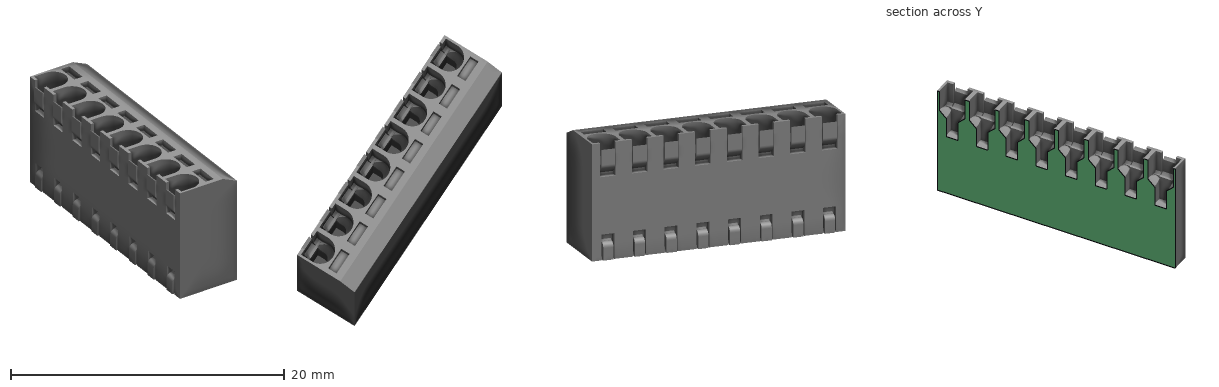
import cadquery as cq
import math

LENGTH = 20.0
DEPTH = 5.0
HEIGHT = 9.0
BEVEL_RUN = 1.25
BEVEL_DROP = 0.55

POLES = 8
PITCH = LENGTH / POLES
CLIP_STANDOUT = 0.1

SLOT_LENGTH = 1.78
SLOT_FRONT = 2.48
SLOT_WIDTH = 0.72
SLOT_DEPTH = 0.48
SLOT_DRAFT = 0.05

ENTRY_CENTRE_Y = 1.22
ENTRY_FRONT = 0.25
ENTRY_RADIUS = 1.08
ENTRY_BOTTOM = HEIGHT - 1.72
THROAT_RADIUS = 0.55
THROAT_DEPTH = 1.6
FUNNEL_BOTTOM = ENTRY_BOTTOM - (ENTRY_RADIUS - THROAT_RADIUS)

RAMP_SLOPE = math.tan(math.radians(35))
SHELF_FRONT = 0.45
SHELF_BACK = 0.65
SHELF_Z = ENTRY_BOTTOM - (SHELF_FRONT - ENTRY_FRONT) * RAMP_SLOPE
LIP_WIDTH = 0.1
LIP_OUTER_X = 0.98

UPPER_WINDOW_WIDTH = 1.22
UPPER_WINDOW_BOTTOM = 6.4
CLIP_WIDTH = 1.08
CLIP_TOP = 8.52
CLIP_BACK = 0.15
CLIP_LAND_BACK = 0.2
CLIP_BEND_TOP = 7.32
CLIP_BEND_RADIUS = 0.48
CLIP_BEND_ANGLE = math.radians(45)
CLIP_TOE_Y = 0.35
CLIP_TOE_BOTTOM = 6.55
CLIP_ROOT = 0.55

LOWER_WINDOW_WIDTH = 1.02
LOWER_WINDOW_TOP = 1.98
LOWER_WINDOW_DEPTH = 0.45
LOWER_SLOPE_TOP = 0.78
LOWER_SLOPE_FRONT = 0.1
FOOT_WIDTH = 0.8
FOOT_BEND_RADIUS = 0.42
FOOT_BEND_START = 0.95
FOOT_TOP = 1.5
FOOT_ROOT = 0.6


def extrude_across(profile, width):
    """Extrude a closed Y-Z profile to a width centred on X = 0."""
    return profile.extrude(width / 2, both=True)


def make_housing():
    profile = cq.Workplane("YZ").polyline([
        (0, 0),
        (DEPTH, 0),
        (DEPTH, HEIGHT - BEVEL_DROP),
        (DEPTH - BEVEL_RUN, HEIGHT),
        (0, HEIGHT),
    ])
    return profile.close().extrude(LENGTH)


def make_test_slot():
    floor = HEIGHT - SLOT_DEPTH
    back = SLOT_FRONT + SLOT_WIDTH
    profile = cq.Workplane("YZ").polyline([
        (SLOT_FRONT, floor),
        (back - SLOT_DRAFT, floor),
        (back, HEIGHT),
        (SLOT_FRONT, HEIGHT),
    ])
    return extrude_across(profile.close(), SLOT_LENGTH)


def make_wire_entry():
    bore_profile = cq.Workplane("XZ", origin=(0, ENTRY_CENTRE_Y, 0)).polyline([
        (0, HEIGHT),
        (ENTRY_RADIUS, HEIGHT),
        (ENTRY_RADIUS, ENTRY_BOTTOM),
        (THROAT_RADIUS, FUNNEL_BOTTOM),
        (0, FUNNEL_BOTTOM),
    ])
    bore = bore_profile.close().revolve(360, (0, 0, 0), (0, 1, 0))
    behind_shelf = cq.Workplane("XY").box(
        2 * ENTRY_RADIUS, DEPTH, HEIGHT, centered=(True, False, False)
    ).translate((0, SHELF_BACK, 0))
    entry = bore.intersect(behind_shelf)

    front_profile = cq.Workplane("YZ").polyline([
        (ENTRY_FRONT, HEIGHT),
        (ENTRY_FRONT, ENTRY_BOTTOM),
        (SHELF_FRONT, SHELF_Z),
        (SHELF_BACK, SHELF_Z),
        (ENTRY_CENTRE_Y, ENTRY_BOTTOM),
        (ENTRY_CENTRE_Y, HEIGHT),
    ])
    entry = entry.union(extrude_across(front_profile.close(), 2 * ENTRY_RADIUS))

    lip_profile = cq.Workplane("YZ").polyline([
        (SHELF_BACK - LIP_WIDTH, SHELF_Z),
        (SHELF_BACK, SHELF_Z),
        (SHELF_BACK, SHELF_Z + LIP_WIDTH * RAMP_SLOPE),
    ])
    entry = entry.cut(extrude_across(lip_profile.close(), 2 * LIP_OUTER_X))

    throat = (
        cq.Workplane("XY", origin=(0, 0, FUNNEL_BOTTOM - THROAT_DEPTH))
        .moveTo(-THROAT_RADIUS, SHELF_BACK)
        .lineTo(-THROAT_RADIUS, ENTRY_CENTRE_Y)
        .threePointArc((0, ENTRY_CENTRE_Y + THROAT_RADIUS), (THROAT_RADIUS, ENTRY_CENTRE_Y))
        .lineTo(THROAT_RADIUS, SHELF_BACK)
        .close()
        .extrude(HEIGHT - FUNNEL_BOTTOM + THROAT_DEPTH)
    )
    lip_gap = cq.Workplane("XY").box(
        2 * THROAT_RADIUS, LIP_WIDTH, HEIGHT - SHELF_Z, centered=(True, False, False)
    ).translate((0, SHELF_BACK - LIP_WIDTH, SHELF_Z))
    return entry.union(throat).union(lip_gap)


def make_upper_window():
    profile = cq.Workplane("YZ").polyline([
        (0, UPPER_WINDOW_BOTTOM),
        (SHELF_FRONT, UPPER_WINDOW_BOTTOM),
        (SHELF_FRONT, HEIGHT),
        (0, HEIGHT),
    ])
    return extrude_across(profile.close(), UPPER_WINDOW_WIDTH)


def make_upper_clip():
    """Spring clip: flat blade, bent inward below, rooted in the wall behind the window."""
    blade_front = -CLIP_STANDOUT
    bend_centre_y = blade_front + CLIP_BEND_RADIUS

    def bend_point(angle):
        return (
            bend_centre_y - CLIP_BEND_RADIUS * math.cos(angle),
            CLIP_BEND_TOP - CLIP_BEND_RADIUS * math.sin(angle),
        )

    bend_end_y, bend_end_z = bend_point(CLIP_BEND_ANGLE)
    toe_top = bend_end_z - (CLIP_TOE_Y - bend_end_y) / math.tan(CLIP_BEND_ANGLE)
    profile = (
        cq.Workplane("YZ")
        .moveTo(blade_front, CLIP_TOP)
        .lineTo(blade_front, CLIP_BEND_TOP)
        .threePointArc(bend_point(CLIP_BEND_ANGLE / 2), (bend_end_y, bend_end_z))
        .lineTo(CLIP_TOE_Y, toe_top)
        .lineTo(CLIP_TOE_Y, CLIP_TOE_BOTTOM)
        .lineTo(CLIP_ROOT, CLIP_TOE_BOTTOM)
        .lineTo(CLIP_ROOT, SHELF_Z)
        .lineTo(SHELF_FRONT, SHELF_Z)
        .lineTo(CLIP_LAND_BACK, ENTRY_BOTTOM)
        .lineTo(CLIP_BACK, ENTRY_BOTTOM)
        .lineTo(CLIP_BACK, CLIP_TOP - (CLIP_BACK - blade_front) * RAMP_SLOPE)
        .close()
    )
    return extrude_across(profile, CLIP_WIDTH)


def make_lower_window():
    """Recess whose rear wall slopes forward towards the underside."""
    profile = cq.Workplane("YZ").polyline([
        (0, 0),
        (LOWER_SLOPE_FRONT, 0),
        (LOWER_WINDOW_DEPTH, LOWER_SLOPE_TOP),
        (LOWER_WINDOW_DEPTH, LOWER_WINDOW_TOP),
        (0, LOWER_WINDOW_TOP),
    ])
    return extrude_across(profile.close(), LOWER_WINDOW_WIDTH)


def make_contact_foot():
    """Contact foot with a rounded shoulder, rooted in the wall behind the window."""
    bend_centre_y = FOOT_BEND_RADIUS - CLIP_STANDOUT
    bend_middle = FOOT_BEND_RADIUS * math.sqrt(0.5)
    profile = (
        cq.Workplane("YZ")
        .moveTo(-CLIP_STANDOUT, 0)
        .lineTo(-CLIP_STANDOUT, FOOT_BEND_START)
        .threePointArc(
            (bend_centre_y - bend_middle, FOOT_BEND_START + bend_middle),
            (bend_centre_y, FOOT_BEND_START + FOOT_BEND_RADIUS),
        )
        .lineTo(LOWER_WINDOW_DEPTH, FOOT_TOP)
        .lineTo(FOOT_ROOT, FOOT_TOP)
        .lineTo(FOOT_ROOT, 0)
        .close()
    )
    return extrude_across(profile, FOOT_WIDTH)


pole_cuts = [make_test_slot(), make_wire_entry(), make_upper_window(), make_lower_window()]
pole_metal = [make_upper_clip(), make_contact_foot()]

result = make_housing()
for pole in range(POLES):
    to_pole = ((pole + 0.5) * PITCH, 0, 0)
    for tool in pole_cuts:
        result = result.cut(tool.translate(to_pole))
    for metal in pole_metal:
        result = result.union(metal.translate(to_pole))